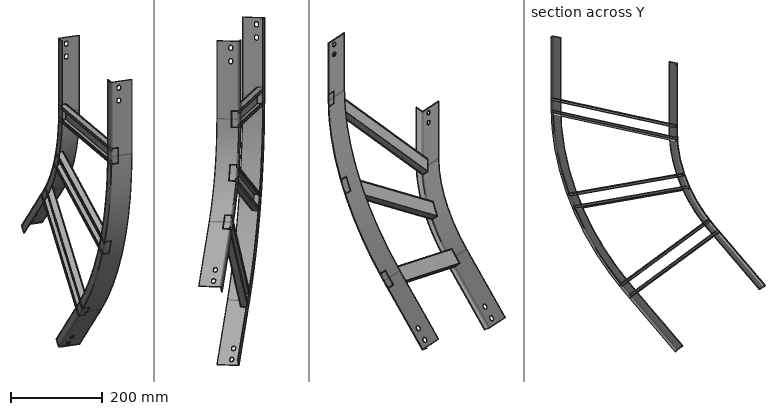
import cadquery as cq
import math


overall_height = 719.5
bend_angle = 45.0
inner_radius = 300.0
tray_width = 300.0
outer_radius = inner_radius + tray_width
bend_sine = math.sin(math.radians(bend_angle))
bend_cosine = math.cos(math.radians(bend_angle))
straight_length = (overall_height - outer_radius * bend_sine) / (1 + bend_cosine)

sheet = 1.5
rail_depth = 50.0
flange_width = 20.0
fold_radius = 2.0

rung_width = 37.5
rung_depth = 16.5
lip_width = 6.5
rung_count = 3

slot_width = 8.5
slot_length = 11.5
slot_height = 19.0
slot_end_gaps = [15.0, 44.5]
drill_length = 4 * sheet


def turned(body, angle):
    """Swing a body round the bend axis, away from the +Z straight run."""
    return body.rotate((0, 0, 0), (0, 1, 0), angle)


def rail_section(web_face, inward):
    """L-shaped section with its web on radius web_face; inward is +1 or -1, the flange direction in X."""
    def at(distance, height):
        return (web_face + inward * distance, height)

    def fold_middle(radius):
        offset = fold_radius - radius * math.sqrt(0.5)
        return at(offset, offset)

    return (
        cq.Workplane("XY")
        .moveTo(*at(0, rail_depth))
        .lineTo(*at(0, fold_radius))
        .threePointArc(fold_middle(fold_radius), at(fold_radius, 0))
        .lineTo(*at(flange_width, 0))
        .lineTo(*at(flange_width, sheet))
        .lineTo(*at(fold_radius, sheet))
        .threePointArc(fold_middle(fold_radius - sheet), at(sheet, fold_radius))
        .lineTo(*at(sheet, rail_depth))
        .close()
    )


def end_slots(web_middle):
    """Bolt-slot cutters along the straight run, centred on the web thickness."""
    slot_centres = [(slot_height, straight_length - gap) for gap in slot_end_gaps]
    return (
        cq.Workplane("YZ", origin=(web_middle - drill_length / 2, 0, 0))
        .pushPoints(slot_centres)
        .slot2D(slot_length, slot_width, 90)
        .extrude(drill_length)
    )


def rail(web_face, inward):
    """Straight run, arc and second straight run of one rail, with slots at both ends."""
    slots = end_slots(web_face + inward * sheet / 2)
    near_run = rail_section(web_face, inward).extrude(straight_length).cut(slots)
    far_run = turned(near_run.mirror("XY"), bend_angle)
    arc = rail_section(web_face, inward).revolve(bend_angle, (0, 0, 0), (0, 1, 0))
    return near_run.union(arc).union(far_run)


def rung():
    """Lipped channel open toward -Y, lying on the flanges and ending inside the webs."""
    length = tray_width - sheet
    start = (inner_radius + sheet / 2, sheet, 0)

    def bar(depth_from, depth_to, width):
        section = cq.Workplane("YZ", origin=start).center((depth_from + depth_to) / 2, 0)
        return section.rect(depth_to - depth_from, width).extrude(length)

    channel = bar(0, rung_depth, rung_width)
    hollow = bar(sheet, rung_depth - sheet, rung_width - 2 * sheet)
    mouth = bar(0, 2 * sheet, rung_width - 2 * lip_width)
    return channel.cut(hollow).cut(mouth)


result = rail(inner_radius, 1).union(rail(outer_radius, -1))
for index in range(rung_count):
    result = result.union(turned(rung(), bend_angle * index / (rung_count - 1)))